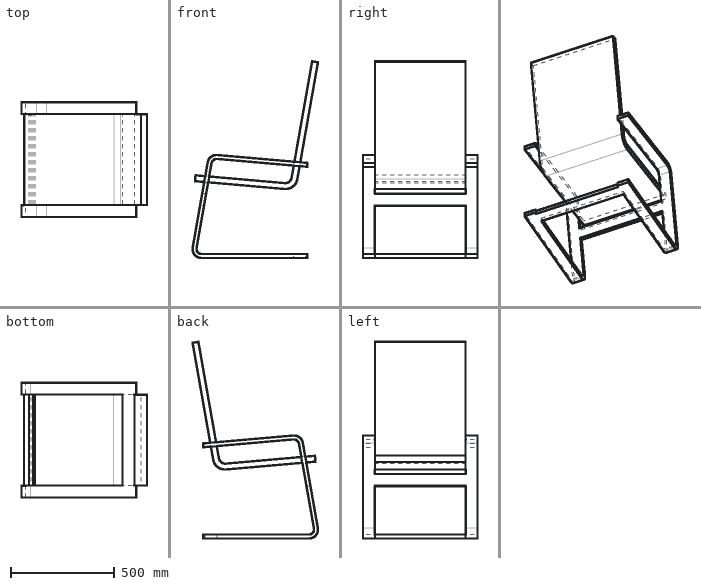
import cadquery as cq
import math

TOTAL_WIDTH = 558.0
TOTAL_DEPTH = 609.0
TOTAL_HEIGHT = 955.0
RAIL_WIDTH = 58.0
FRAME_THICKNESS = 20.0
FRAME_LENGTH = 558.0
FOOT_BEND_RADIUS = 44.0
ARM_BEND_RADIUS = 45.0
ARM_END_HEIGHT = 462.0
BASE_BAR_INSET = 10.0
STRETCHER_BOTTOM = 257.0
SEAT_THICKNESS = 30.0
SEAT_FRONT_X = 14.0
SEAT_FRONT_Z = 402.0
SEAT_INNER_RADIUS = 30.0
LEAN = math.radians(10)
SLOPE = math.radians(5)

SEAT_WIDTH = TOTAL_WIDTH - 2 * RAIL_WIDTH
LEG_DIRECTION = (math.sin(LEAN), math.cos(LEAN))
SEAT_DIRECTION = (math.cos(SLOPE), -math.sin(SLOPE))
FOOT_X = FOOT_BEND_RADIUS * (1 - 1 / math.tan((math.pi / 2 - LEAN) / 2))


def along(point, direction, distance):
    return (point[0] + distance * direction[0], point[1] + distance * direction[1])


def meeting_point(point_a, direction_a, point_b, direction_b):
    """Intersection of two lines in the XZ plane."""
    dx = point_b[0] - point_a[0]
    dz = point_b[1] - point_a[1]
    cross = direction_a[0] * direction_b[1] - direction_a[1] * direction_b[0]
    return along(point_a, direction_a, (dx * direction_b[1] - dz * direction_b[0]) / cross)


def extrude_centred(points, width):
    """Extrude an XZ outline symmetrically about the plane y = 0."""
    return cq.Workplane("XZ").polyline(points).close().extrude(width / 2, both=True)


def round_corner(body, corner, radius):
    """Round the edge running along Y through an XZ corner."""
    edge = cq.selectors.NearestToPointSelector((corner[0], 0, corner[1]))
    return body.edges("|Y").edges(edge).fillet(radius)


def make_strap():
    """Base, leg and armrest in one bent strip, as wide as the whole frame."""
    foot_outer = (FOOT_X, 0)
    leg_inner = (FOOT_X + FRAME_THICKNESS / math.cos(LEAN), 0)
    arm_end_top = (FRAME_LENGTH, ARM_END_HEIGHT)
    arm_end_bottom = (FRAME_LENGTH, ARM_END_HEIGHT - FRAME_THICKNESS / math.cos(SLOPE))
    foot_inner = meeting_point(leg_inner, LEG_DIRECTION, (0, FRAME_THICKNESS), (1, 0))
    arm_outer = meeting_point(foot_outer, LEG_DIRECTION, arm_end_top, SEAT_DIRECTION)
    arm_inner = meeting_point(leg_inner, LEG_DIRECTION, arm_end_bottom, SEAT_DIRECTION)
    strap = extrude_centred(
        [
            (FRAME_LENGTH, 0),
            foot_outer,
            arm_outer,
            arm_end_top,
            arm_end_bottom,
            arm_inner,
            foot_inner,
            (FRAME_LENGTH, FRAME_THICKNESS),
        ],
        TOTAL_WIDTH,
    )
    strap = round_corner(strap, foot_outer, FOOT_BEND_RADIUS)
    strap = round_corner(strap, foot_inner, FOOT_BEND_RADIUS - FRAME_THICKNESS)
    strap = round_corner(strap, arm_outer, ARM_BEND_RADIUS)
    return round_corner(strap, arm_inner, ARM_BEND_RADIUS - FRAME_THICKNESS)


def make_stretcher():
    """Crossbar flush with the front and rear faces of the legs."""
    front_bottom = along((FOOT_X, 0), LEG_DIRECTION, STRETCHER_BOTTOM / math.cos(LEAN))
    front_top = along(front_bottom, LEG_DIRECTION, RAIL_WIDTH)
    rearward = (math.cos(LEAN), -math.sin(LEAN))
    return extrude_centred(
        [
            front_bottom,
            front_top,
            along(front_top, rearward, FRAME_THICKNESS),
            along(front_bottom, rearward, FRAME_THICKNESS),
        ],
        SEAT_WIDTH,
    )


def make_base_bar():
    """Crossbar joining the base straps near their rear ends."""
    return cq.Workplane("XY").box(
        RAIL_WIDTH, SEAT_WIDTH, FRAME_THICKNESS, centered=(False, True, False)
    ).translate((FRAME_LENGTH - BASE_BAR_INSET - RAIL_WIDTH, 0, 0))


def make_frame():
    """Two side loops joined by the stretcher and the base bar."""
    opening = cq.Workplane("XY").box(3 * TOTAL_DEPTH, SEAT_WIDTH, 3 * TOTAL_HEIGHT)
    return make_strap().cut(opening).union(make_stretcher()).union(make_base_bar())


def make_seat():
    """Seat and backrest in one bent panel with square-cut ends."""
    front_top = (SEAT_FRONT_X, SEAT_FRONT_Z)
    front_bottom = along(front_top, (-math.sin(SLOPE), -math.cos(SLOPE)), SEAT_THICKNESS)
    back_top_front = (TOTAL_DEPTH - SEAT_THICKNESS * math.cos(LEAN), TOTAL_HEIGHT)
    back_top_rear = (TOTAL_DEPTH, TOTAL_HEIGHT - SEAT_THICKNESS * math.sin(LEAN))
    bend_inner = meeting_point(front_top, SEAT_DIRECTION, back_top_front, LEG_DIRECTION)
    bend_outer = meeting_point(front_bottom, SEAT_DIRECTION, back_top_rear, LEG_DIRECTION)
    seat = extrude_centred(
        [front_top, front_bottom, bend_outer, back_top_rear, back_top_front, bend_inner],
        SEAT_WIDTH,
    )
    seat = round_corner(seat, bend_inner, SEAT_INNER_RADIUS)
    return round_corner(seat, bend_outer, SEAT_INNER_RADIUS + SEAT_THICKNESS)


frame = make_frame()
seat = make_seat()
result = cq.Compound.makeCompound([frame.solids().val(), seat.solids().val()])